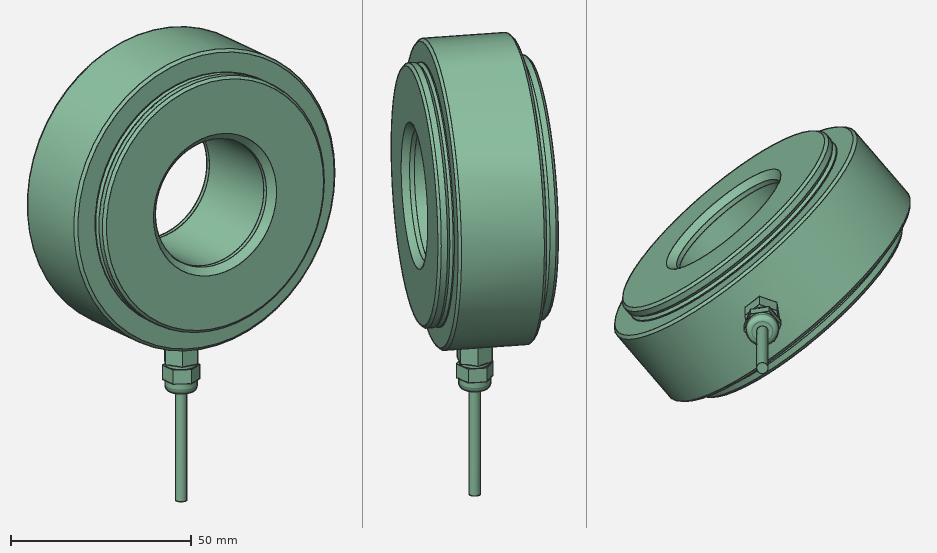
import cadquery as cq
import math

stack_width = 34.0
housing_width = 25.0
housing_diameter = 87.0
housing_chamfer = 0.8
plate_diameter = 74.0
plate_thickness = 3.4
plate_chamfer = 0.8
bore_diameter = 37.0
bore_chamfer = 2.0

hex_across_flats = 9.0
hex_across_corners = hex_across_flats / math.cos(math.radians(30))
seat_depth = 0.7
gland_hex_length = 7.0
neck_diameter = 8.6
neck_length = 1.0
nut_length = 4.2
collar_diameter = 9.0
collar_length = 3.4
collar_fillet = 1.6

cable_diameter = 3.2
overall_height = 134.5

boss_span = stack_width - 2 * plate_thickness
housing_bottom = -housing_diameter / 2
seat_top = housing_bottom + seat_depth
gland_hex_bottom = housing_bottom - gland_hex_length
neck_bottom = gland_hex_bottom - neck_length
nut_bottom = neck_bottom - nut_length
collar_bottom = nut_bottom - collar_length
cable_bottom = housing_diameter / 2 - overall_height


def bar_along_x(diameter, length):
    """Plain cylinder centred on the origin with its axis on X."""
    return cq.Workplane("YZ").workplane(offset=-length / 2).circle(diameter / 2).extrude(length)


def disc(diameter, width, chamfer):
    """Disc centred on the origin with its axis on X and both rims chamfered."""
    return bar_along_x(diameter, width).edges("%CIRCLE").chamfer(chamfer)


def rod(diameter, top, bottom):
    """Vertical cylinder on the Z axis."""
    return cq.Workplane("XY").workplane(offset=bottom).circle(diameter / 2).extrude(top - bottom)


def hex_bar(top, bottom, turn=0):
    """Vertical hexagonal bar, with corners on X before it is turned about Z."""
    bar = cq.Workplane("XY").workplane(offset=bottom).polygon(6, hex_across_corners).extrude(top - bottom)
    return bar.rotate((0, 0, 0), (0, 0, 1), turn)


def make_housing():
    """Outer ring with a low boss on each face and a seat for the gland."""
    ring = disc(housing_diameter, housing_width, housing_chamfer)
    bosses = disc(plate_diameter, boss_span, plate_chamfer)
    bore = bar_along_x(bore_diameter, stack_width)
    gland_seat = hex_bar(seat_top, gland_hex_bottom, turn=90)
    return ring.union(bosses).cut(bore).cut(gland_seat)


def make_end_plate(side):
    """End plate on the -X (side = -1) or +X (side = 1) face of the housing."""
    plate = disc(plate_diameter, plate_thickness, plate_chamfer)
    plate = plate.faces(">X").workplane().hole(bore_diameter)
    plate = plate.faces(">X").edges("%CIRCLE").edges(cq.selectors.RadiusNthSelector(0)).chamfer(bore_chamfer)
    if side < 0:
        plate = plate.mirror("YZ")
    return plate.translate((side * (stack_width - plate_thickness) / 2, 0, 0))


def make_gland():
    """Hexagonal gland body, neck, hexagonal nut and rounded collar, bored for the cable."""
    body = hex_bar(seat_top, gland_hex_bottom, turn=90)
    neck = rod(neck_diameter, gland_hex_bottom, neck_bottom)
    nut = hex_bar(neck_bottom, nut_bottom)
    collar = rod(collar_diameter, nut_bottom, collar_bottom).faces("<Z").edges().fillet(collar_fillet)
    cable_hole = rod(cable_diameter, gland_hex_bottom, collar_bottom)
    return body.union(neck).union(nut).union(collar).cut(cable_hole)


housing = make_housing()
end_plates = [make_end_plate(side) for side in (-1, 1)]
gland = make_gland()
cable = rod(cable_diameter, gland_hex_bottom, cable_bottom)

result = cq.Compound.makeCompound([
    housing.val(),
    *[plate.val() for plate in end_plates],
    gland.val(),
    cable.val(),
])